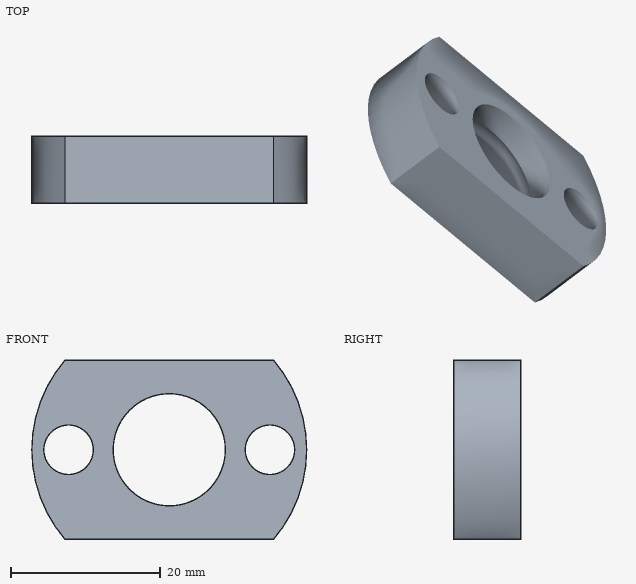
import cadquery as cq

disc_diameter = 36.9
thickness = 9.0
height = 24.0

bore_diameter = 15.0
bolt_hole_diameter = 6.6
bolt_hole_spacing = 27.0

groove_section_radius = 0.9
groove_position = thickness / 2


def cylinder_along_y(diameter, x=0.0):
    """Cylinder spanning the plate thickness, from Y = 0 to Y = thickness."""
    return cq.Workplane("XZ").center(x, 0).circle(diameter / 2).extrude(-thickness)


def plate():
    flats = cq.Workplane("XZ").rect(disc_diameter, height).extrude(-thickness)
    return cylinder_along_y(disc_diameter).intersect(flats)


def ring_groove():
    """Torus centred on the bore wall."""
    return (
        cq.Workplane("YZ")
        .center(groove_position, -bore_diameter / 2)
        .circle(groove_section_radius)
        .revolve(360, (0, bore_diameter / 2), (1, bore_diameter / 2))
    )


result = plate().cut(cylinder_along_y(bore_diameter))
for side in (-1, 1):
    result = result.cut(cylinder_along_y(bolt_hole_diameter, side * bolt_hole_spacing / 2))
result = result.cut(ring_groove())